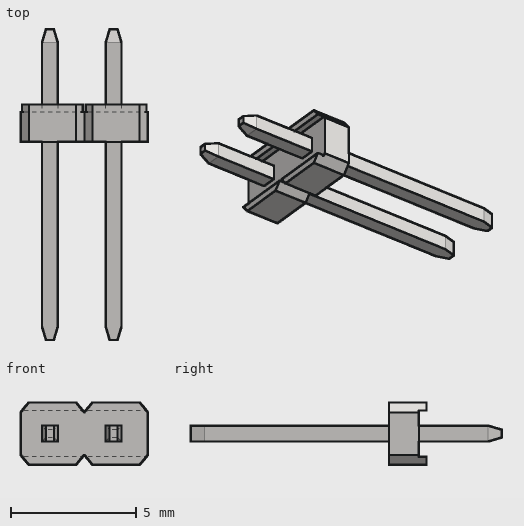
import cadquery as cq


pin_count = 2
pitch = 2.54
housing_height = 2.5
housing_depth = 1.5
corner_cut_x = 0.33
corner_cut_z = 0.4

recess_depth = 0.3
standoff_height = 0.33

pin_width = 0.64
pin_front_length = 7.9
pin_back_length = 3.0
pin_shift_x = -0.1
tip_length = 0.54
tip_width = 0.32

housing_length = pin_count * pitch
pin_front_y = -pin_front_length
pin_back_y = housing_depth + pin_back_length


def cell_center_x(index):
    """X position of the middle of one housing cell."""
    return (index - (pin_count - 1) / 2) * pitch


def make_cell(center_x):
    """One eight-sided housing cell; neighbouring cells share a side face."""
    half_width = pitch / 2
    half_height = housing_height / 2
    inner_x = half_width - corner_cut_x
    inner_z = half_height - corner_cut_z
    outline = [
        (-inner_x, -half_height),
        (inner_x, -half_height),
        (half_width, -inner_z),
        (half_width, inner_z),
        (inner_x, half_height),
        (-inner_x, half_height),
        (-half_width, inner_z),
        (-half_width, -inner_z),
    ]
    cell = cq.Workplane("XZ").polyline(outline).close().extrude(-housing_depth)
    return cell.translate((center_x, 0, 0))


def make_recess():
    """Cutter for the back-face recess, open at both ends along X."""
    recess_height = housing_height - 2 * standoff_height
    recess_center_y = housing_depth - recess_depth / 2
    cutter = cq.Workplane("XY").box(housing_length, recess_depth, recess_height)
    return cutter.translate((0, recess_center_y, 0))


def make_pin(center_x):
    """Square pin: front tip tapered on two sides, back tip on all four."""
    half_pin = pin_width / 2
    half_tip = tip_width / 2
    front_shoulder_y = pin_front_y + tip_length
    back_shoulder_y = pin_back_y - tip_length

    front_outline = [
        (-half_tip, pin_front_y),
        (half_tip, pin_front_y),
        (half_pin, front_shoulder_y),
        (half_pin, back_shoulder_y),
        (-half_pin, back_shoulder_y),
        (-half_pin, front_shoulder_y),
    ]
    shank = cq.Workplane("XY").polyline(front_outline).close().extrude(half_pin, both=True)

    back_tip = (
        cq.Workplane("XZ", origin=(0, back_shoulder_y, 0))
        .rect(pin_width, pin_width)
        .workplane(offset=-tip_length)
        .rect(tip_width, tip_width)
        .loft(ruled=True)
    )
    return shank.union(back_tip).translate((center_x, 0, 0))


cell_centers = [cell_center_x(index) for index in range(pin_count)]

housing = make_cell(cell_centers[0])
for center_x in cell_centers[1:]:
    housing = housing.union(make_cell(center_x))
housing = housing.cut(make_recess())

result = housing
for center_x in cell_centers:
    result = result.union(make_pin(center_x + pin_shift_x))
result = result.clean()